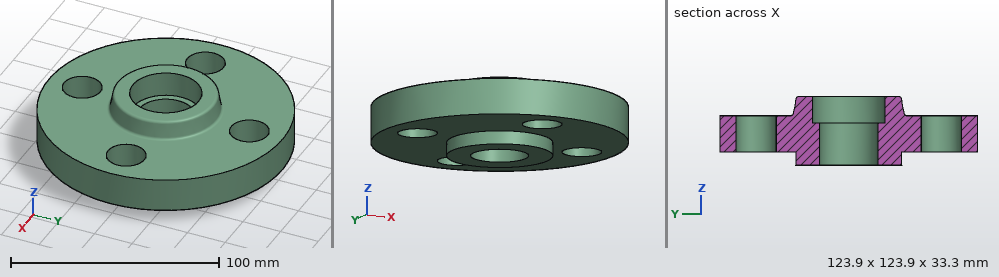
import cadquery as cq

flange_diameter = 123.9
flange_thickness = 17.5

face_diameter = 51.0
face_height = 6.5

hub_height = 9.3
hub_base_diameter = 53.9
hub_top_diameter = 50.5
hub_round_radius = 1.5

bore_diameter = 27.9
socket_diameter = 34.7
socket_depth = 12.8

bolt_hole_count = 4
bolt_hole_diameter = 19.1
bolt_circle_diameter = 88.9

flange_bottom = face_height
flange_top = flange_bottom + flange_thickness
hub_top = flange_top + hub_height
socket_floor = hub_top - socket_depth


def make_body():
    """Revolve the raised face, plate and tapered hub, then round the hub edges."""
    body = (
        cq.Workplane("XZ")
        .lineTo(face_diameter / 2, 0)
        .lineTo(face_diameter / 2, flange_bottom)
        .lineTo(flange_diameter / 2, flange_bottom)
        .lineTo(flange_diameter / 2, flange_top)
        .lineTo(hub_base_diameter / 2, flange_top)
        .lineTo(hub_top_diameter / 2, hub_top)
        .lineTo(0, hub_top)
        .close()
        .revolve(360, (0, 0), (0, 1))
    )
    body = body.faces(">Z").edges().fillet(hub_round_radius)
    second_largest_circle = cq.selectors.RadiusNthSelector(-2)
    return body.edges("%CIRCLE").edges(second_largest_circle).fillet(hub_round_radius)


def make_stepped_bore():
    """Through bore that widens to a pipe socket at the hub end."""
    bore = cq.Workplane("XY").circle(bore_diameter / 2).extrude(hub_top)
    socket = (
        cq.Workplane("XY", origin=(0, 0, socket_floor))
        .circle(socket_diameter / 2)
        .extrude(socket_depth)
    )
    return bore.union(socket)


def make_bolt_holes():
    """Evenly spaced holes through the plate, the first one on the X axis."""
    return (
        cq.Workplane("XY", origin=(0, 0, flange_bottom))
        .polarArray(bolt_circle_diameter / 2, 0, 360, bolt_hole_count)
        .circle(bolt_hole_diameter / 2)
        .extrude(flange_thickness)
    )


result = make_body().cut(make_stepped_bore()).cut(make_bolt_holes())